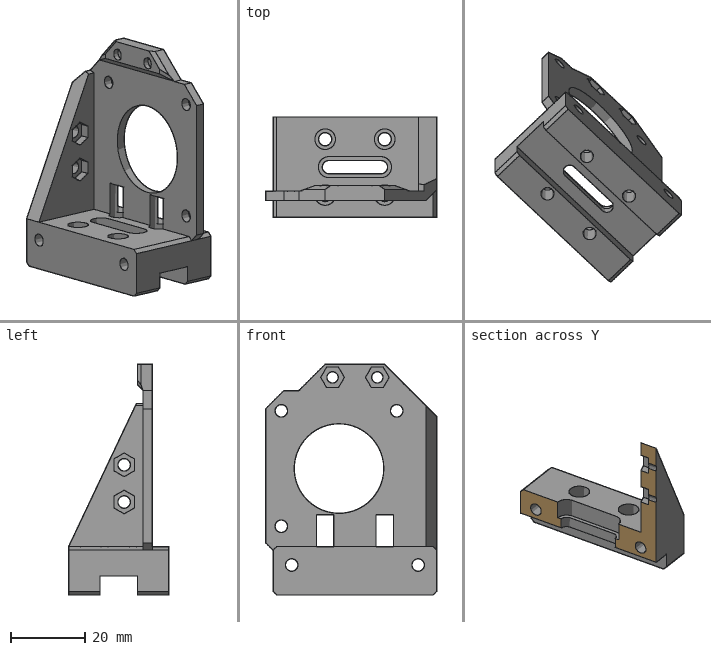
import cadquery as cq
import math


base_width = 44.0
base_depth = 27.0
base_height = 13.0
center_x = base_width / 2
edge_chamfer = 1.0
channel_width = 10.05
channel_height = 5.1

total_height = 62.0
overhang = 2.0
plate_front = 4.45
plate_thickness = 2.55
plate_back = plate_front + plate_thickness
plate_left = -overhang
plate_right = base_width
plate_bottom = base_height - edge_chamfer
shoulder_height = 54.95
shoulder_chamfer = 4.9
corner_bevel = 3.0

top_half_width = 8.0
top_bolt_half_spacing = 6.0
top_bolt_z = 58.45
top_bolt_diameter = 3.0
pad_thickness = 1.5
pad_half_width = 14.9
pad_side_run = 4.0
pad_bottom = 55.0
pad_chamfer = 1.0
pad_back = plate_back + pad_thickness

motor_x = 17.75
motor_z = 34.0
motor_bore = 24.0
motor_half_pitch = 15.5
motor_bolt_diameter = 3.3

gusset_thickness = 4.95
gusset_inner = base_width - gusset_thickness
gusset_apex_z = 60.5
gusset_roof_z = 50.95
gusset_roof_run = 1.5
gusset_bolt_y = 12.0
gusset_bolt_heights = (25.0, 34.95)
gusset_bolt_diameter = 3.3

nut_across_flats = 5.5
nut_across_corners = nut_across_flats / math.cos(math.radians(30))
nut_depth = 2.5

counterbore_diameter = 5.5
counterbore_floor = 8.05
base_bolt_diameter = 3.5
base_bolt_half_spacing = 8.0
base_bolt_half_pitch_y = 7.5
access_top = 21.5
slot_spacing = 14.0
slot_counterbore_width = 5.65

cross_hole_diameter = 3.3
cross_hole_half_spacing = 17.0
cross_hole_z = 8.05


def right_slope_z(x):
    """Height of the plate's 45-degree upper right edge at x."""
    return total_height - (x - (center_x + top_half_width))


def prism_along_y(points, y_start, y_end):
    """Extrude an outline of (x, z) points from y_start to y_end."""
    plane = cq.Workplane("XZ", origin=(0, y_start, 0))
    return plane.polyline(points).close().extrude(y_start - y_end)


def prism_along_x(points, x_start, x_end):
    """Extrude an outline of (y, z) points from x_start to x_end."""
    plane = cq.Workplane("YZ", origin=(x_start, 0, 0))
    return plane.polyline(points).close().extrude(x_end - x_start)


def cylinder_y(x, z, diameter):
    """A cylinder along Y that is as long as the base is deep."""
    plane = cq.Workplane("XZ", origin=(x, 0, z))
    return plane.circle(diameter / 2).extrude(-base_depth)


def make_base():
    block = cq.Workplane("XY").box(base_width, base_depth, base_height, centered=False)
    block = block.edges("|Y").chamfer(edge_chamfer)
    channel = (
        cq.Workplane("XY", origin=(base_width / 2, base_depth / 2, 0))
        .box(base_width, channel_width, channel_height, centered=(True, True, False))
    )
    return block.cut(channel)


def make_plate():
    top_left = center_x - top_half_width
    top_right = center_x + top_half_width
    outline = [
        (top_left, total_height),
        (top_right, total_height),
        (plate_right, right_slope_z(plate_right)),
        (plate_right, plate_bottom),
        (0, plate_bottom),
        (plate_left, plate_bottom + overhang),
        (plate_left, shoulder_height - shoulder_chamfer),
        (plate_left + shoulder_chamfer, shoulder_height),
        (top_left - (total_height - shoulder_height), shoulder_height),
    ]
    return prism_along_y(outline, plate_front, plate_back)


def make_pad():
    """Thickening behind the top bolts: slanted sides, a 45-degree underside and chamfered upper edges."""
    drop = total_height - pad_bottom
    plan = [
        (center_x - pad_half_width, plate_back),
        (center_x - pad_half_width + pad_side_run, pad_back),
        (center_x + pad_half_width - pad_side_run, pad_back),
        (center_x + pad_half_width, plate_back),
    ]
    pad = (
        cq.Workplane("XY", origin=(0, 0, pad_bottom))
        .polyline(plan)
        .close()
        .extrude(drop)
    )
    outline = [
        (center_x - top_half_width, total_height),
        (center_x + top_half_width, total_height),
        (center_x + top_half_width + drop, pad_bottom),
        (center_x - top_half_width - drop, pad_bottom),
    ]
    pad = pad.intersect(prism_along_y(outline, plate_back, pad_back))
    underside = [
        (plate_back, pad_bottom),
        (pad_back, pad_bottom),
        (pad_back, pad_bottom + pad_thickness),
    ]
    pad = pad.cut(prism_along_x(underside, plate_left, plate_right))
    return pad.faces(">Y").edges("not(|X or |Z)").chamfer(pad_chamfer)


def make_gusset():
    """Triangular wall whose top follows the plate's slope and ends in a shallow roof."""
    ridge_x = gusset_inner + gusset_roof_run
    front_outline = [
        (gusset_inner, plate_bottom),
        (base_width, plate_bottom),
        (base_width, right_slope_z(base_width)),
        (ridge_x, right_slope_z(ridge_x)),
        (gusset_inner, gusset_roof_z),
    ]
    side_outline = [
        (plate_front, plate_bottom),
        (base_depth, plate_bottom),
        (base_depth, base_height),
        (plate_front, gusset_apex_z),
    ]
    wall = prism_along_y(front_outline, plate_front, base_depth)
    return wall.intersect(prism_along_x(side_outline, gusset_inner, base_width))


def make_corner_bevel():
    """Wedge removed from the front right corner of the upright."""
    return (
        cq.Workplane("XY")
        .moveTo(plate_right - corner_bevel, plate_front)
        .lineTo(plate_right, plate_front)
        .lineTo(plate_right, plate_front + corner_bevel)
        .close()
        .extrude(total_height)
    )


def cut_top_bolts(body):
    for side in (-1, 1):
        x = center_x + side * top_bolt_half_spacing
        nut = (
            cq.Workplane("XZ", origin=(x, plate_front, top_bolt_z))
            .polygon(6, nut_across_corners)
            .extrude(-nut_depth)
        )
        body = body.cut(nut).cut(cylinder_y(x, top_bolt_z, top_bolt_diameter))
    return body


def cut_motor_mount(body):
    body = body.cut(cylinder_y(motor_x, motor_z, motor_bore))
    for side_x, side_z in ((-1, -1), (-1, 1), (1, 1)):
        x = motor_x + side_x * motor_half_pitch
        z = motor_z + side_z * motor_half_pitch
        body = body.cut(cylinder_y(x, z, motor_bolt_diameter))
    return body


def cut_gusset_bolts(body):
    for z in gusset_bolt_heights:
        plane = cq.Workplane("YZ", origin=(gusset_inner, gusset_bolt_y, z))
        hole = plane.circle(gusset_bolt_diameter / 2).extrude(gusset_thickness)
        nut = plane.transformed(rotate=(0, 0, 90)).polygon(6, nut_across_corners).extrude(nut_depth)
        body = body.cut(hole).cut(nut)
    return body


def cut_base_bolts(body):
    """Counterbored bolts; the front counterbores rise through the plate for tool access."""
    for side_x in (-1, 1):
        for side_y in (-1, 1):
            x = center_x + side_x * base_bolt_half_spacing
            y = base_depth / 2 + side_y * base_bolt_half_pitch_y
            hole = cq.Workplane("XY", origin=(x, y, 0)).circle(base_bolt_diameter / 2)
            head = cq.Workplane("XY", origin=(x, y, counterbore_floor)).circle(counterbore_diameter / 2)
            body = body.cut(hole.extrude(base_height))
            body = body.cut(head.extrude(access_top - counterbore_floor))
    return body


def cut_base_slot(body):
    """Counterbored slot in the roof of the channel."""
    for width, bottom in ((base_bolt_diameter, 0), (slot_counterbore_width, counterbore_floor)):
        slot = (
            cq.Workplane("XY", origin=(center_x, base_depth / 2, bottom))
            .slot2D(slot_spacing + width, width)
            .extrude(base_height - bottom)
        )
        body = body.cut(slot)
    return body


def cut_cross_holes(body):
    for side in (-1, 1):
        x = center_x + side * cross_hole_half_spacing
        body = body.cut(cylinder_y(x, cross_hole_z, cross_hole_diameter))
    return body


upright = make_plate().union(make_gusset()).cut(make_corner_bevel()).union(make_pad())
result = make_base().union(upright)
result = cut_top_bolts(result)
result = cut_motor_mount(result)
result = cut_gusset_bolts(result)
result = cut_base_bolts(result)
result = cut_base_slot(result)
result = cut_cross_holes(result)